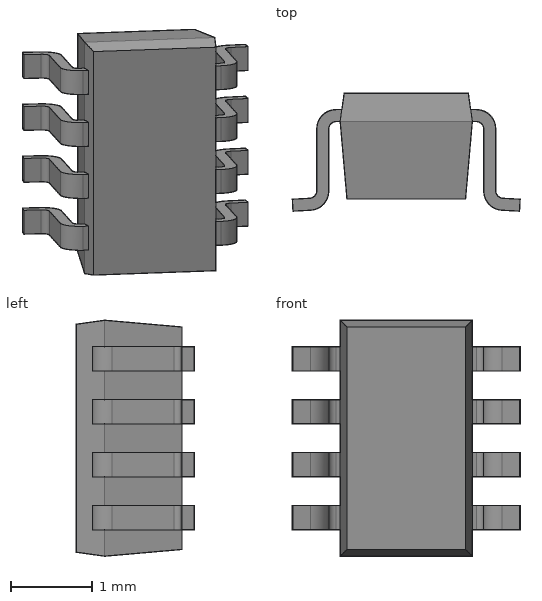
import cadquery as cq
import math

seat_gap = 0.15
lower_height = 0.95
upper_height = 0.35
body_width = 1.625
body_length = 2.9
lower_draft = 5.0
upper_draft = 8.0

leads_per_side = 4
lead_pitch = 0.65
lead_width = 0.3
lead_thickness = 0.15
lead_span = 2.8
leg_outer_x = 1.1
inner_bend = 0.09
foot_angle = 3.0
root_overlap = 0.1

parting_y = seat_gap + lower_height
outer_bend = inner_bend + lead_thickness
leg_inner_x = leg_outer_x - lead_thickness
lead_root_x = body_width / 2 - root_overlap


def drafted_half(height, draft):
    """Rectangle on the parting plane, tapered away from it; negative height runs toward -Y."""
    plane = cq.Plane(
        origin=(0, parting_y, 0),
        xDir=(1, 0, 0),
        normal=(0, math.copysign(1, height), 0),
    )
    return cq.Workplane(plane).rect(body_width, body_length).extrude(abs(height), taper=draft)


def make_lead(side, z_center):
    """One lead: root on the parting plane, bend, leg, bend and dipping foot."""
    tilt = math.radians(foot_angle)
    sin_tilt = math.sin(tilt)
    cos_tilt = math.cos(tilt)

    top_y = parting_y + lead_thickness
    upper_center = (leg_outer_x - outer_bend, top_y - outer_bend)

    tip_top_x = lead_span / 2
    tip_bottom_x = tip_top_x - lead_thickness * sin_tilt
    tip_top_y = lead_thickness * cos_tilt
    lower_x = leg_inner_x + outer_bend
    foot_start_x = lower_x - outer_bend * sin_tilt
    foot_start_y = (tip_bottom_x - foot_start_x) * math.tan(tilt)
    lower_center = (lower_x, foot_start_y + outer_bend * cos_tilt)

    def on_arc(center, radius, degrees):
        angle = math.radians(degrees)
        return (
            side * (center[0] + radius * math.cos(angle)),
            center[1] + radius * math.sin(angle),
        )

    foot_end = 270 - foot_angle
    foot_middle = (180 + foot_end) / 2
    profile = (
        cq.Workplane("XY", origin=(0, 0, z_center - lead_width / 2))
        .moveTo(side * lead_root_x, top_y)
        .lineTo(*on_arc(upper_center, outer_bend, 90))
        .threePointArc(on_arc(upper_center, outer_bend, 45), on_arc(upper_center, outer_bend, 0))
        .lineTo(*on_arc(lower_center, inner_bend, 180))
        .threePointArc(
            on_arc(lower_center, inner_bend, foot_middle),
            on_arc(lower_center, inner_bend, foot_end),
        )
        .lineTo(side * tip_top_x, tip_top_y)
        .lineTo(side * tip_bottom_x, 0)
        .lineTo(*on_arc(lower_center, outer_bend, foot_end))
        .threePointArc(
            on_arc(lower_center, outer_bend, foot_middle),
            on_arc(lower_center, outer_bend, 180),
        )
        .lineTo(*on_arc(upper_center, inner_bend, 0))
        .threePointArc(on_arc(upper_center, inner_bend, 45), on_arc(upper_center, inner_bend, 90))
        .lineTo(side * lead_root_x, parting_y)
        .close()
    )
    return profile.extrude(lead_width)


body = drafted_half(-lower_height, lower_draft).union(drafted_half(upper_height, upper_draft))

leads = []
for side in (-1, 1):
    for index in range(leads_per_side):
        z_center = (index - (leads_per_side - 1) / 2) * lead_pitch
        leads.append(make_lead(side, z_center).cut(body))

result = cq.Compound.makeCompound([body.val(), *[lead.val() for lead in leads]])